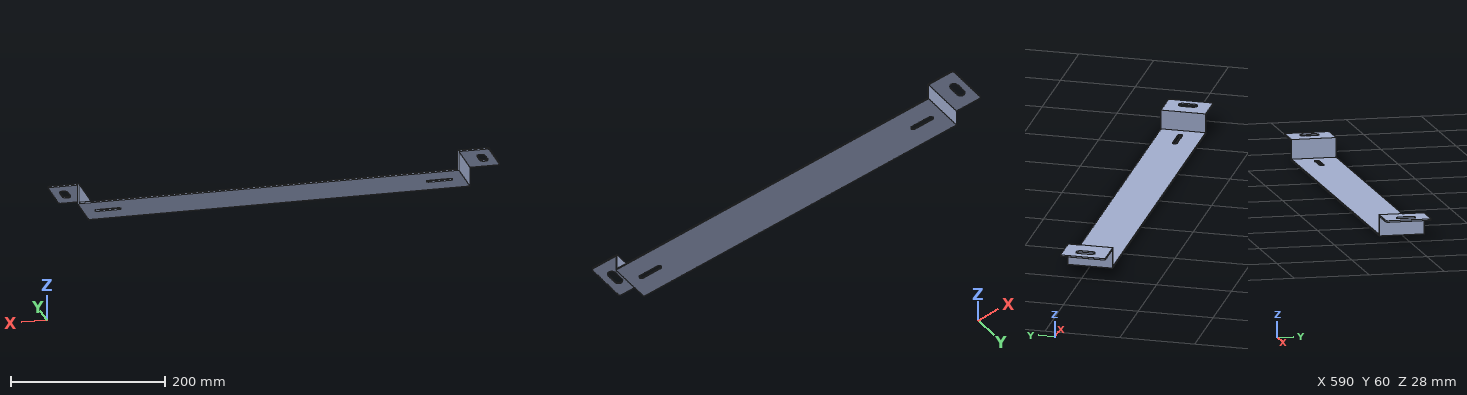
import cadquery as cq

length = 590.0
width = 60.0
height = 28.0
thickness = 2.0

channel_length = 510.0
flange_corner_radius = 3.0

mount_slot_spacing = 558.0
mount_slot_length = 25.0
mount_slot_width = 11.0

base_slot_spacing = 443.0
base_slot_length = 35.0
base_slot_width = 6.0


def bent_strip():
    """Sheet-metal strip: a flat base, two upright webs and two outward flanges."""
    end_x = length / 2
    web_outer_x = channel_length / 2
    web_inner_x = web_outer_x - thickness
    flange_underside = height - thickness
    profile = (
        cq.Workplane("XZ")
        .moveTo(-end_x, height)
        .lineTo(-web_inner_x, height)
        .lineTo(-web_inner_x, thickness)
        .lineTo(web_inner_x, thickness)
        .lineTo(web_inner_x, height)
        .lineTo(end_x, height)
        .lineTo(end_x, flange_underside)
        .lineTo(web_outer_x, flange_underside)
        .lineTo(web_outer_x, 0)
        .lineTo(-web_outer_x, 0)
        .lineTo(-web_outer_x, flange_underside)
        .lineTo(-end_x, flange_underside)
        .close()
    )
    return profile.extrude(width / 2, both=True)


def round_flange_corners(strip):
    """Round the four free corners of the flanges."""
    for end in ("<X", ">X"):
        strip = strip.faces(end).edges("|Z").fillet(flange_corner_radius)
    return strip


def slot_pair(spacing, slot_length, slot_width, angle):
    """Two round-ended vertical cutters placed symmetrically along X."""
    return (
        cq.Workplane("XY")
        .pushPoints([(-spacing / 2, 0), (spacing / 2, 0)])
        .slot2D(slot_length, slot_width, angle)
        .extrude(height)
    )


mount_slots = slot_pair(mount_slot_spacing, mount_slot_length, mount_slot_width, angle=90)
base_slots = slot_pair(base_slot_spacing, base_slot_length, base_slot_width, angle=0)

result = round_flange_corners(bent_strip()).cut(mount_slots).cut(base_slots)